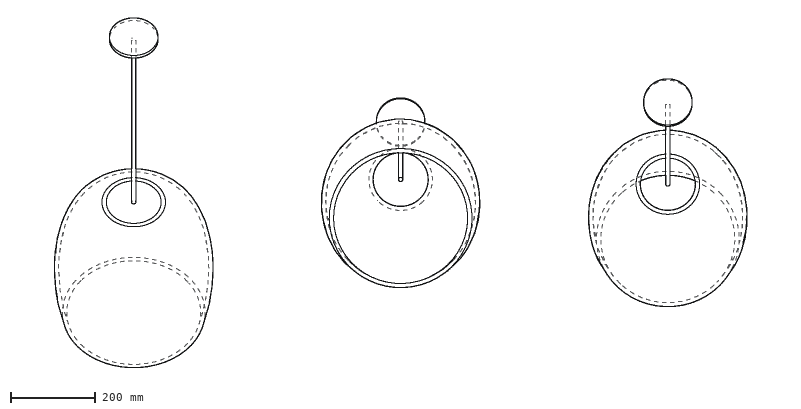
import cadquery as cq

TOTAL_HEIGHT = 1031.0

DISC_RADIUS = 58.0
DISC_THICKNESS = 10.0

ROD_RADIUS = 5.0

SHADE_HEIGHT = 412.0
WALL_THICKNESS = 10.0
RIM_RADIUS = 75.0
SHOULDER_RADIUS = 153.0
SHOULDER_HEIGHT = 348.0
BELLY_TOP_RADIUS = 178.0
BELLY_TOP_HEIGHT = 274.0
BELLY_RADIUS = 188.1
BELLY_HEIGHT = 175.0
MOUTH_RADIUS = 169.0
LOWER_RADIUS = 184.0
LOWER_HEIGHT = 82.0


def make_disc():
    """Flat round plate at the very top."""
    disc_bottom = TOTAL_HEIGHT - DISC_THICKNESS
    return cq.Workplane("XY").workplane(offset=disc_bottom).circle(DISC_RADIUS).extrude(DISC_THICKNESS)


def make_rod():
    """Thin rod from the rim level of the shade up to the underside of the disc."""
    rod_length = TOTAL_HEIGHT - DISC_THICKNESS - SHADE_HEIGHT
    return cq.Workplane("XY").workplane(offset=SHADE_HEIGHT).circle(ROD_RADIUS).extrude(rod_length)


def make_shade():
    """Revolved shell whose inner curve is the outer one moved in by the wall thickness."""
    outer_curve = [
        (MOUTH_RADIUS, 0),
        (LOWER_RADIUS, LOWER_HEIGHT),
        (BELLY_RADIUS, BELLY_HEIGHT),
        (BELLY_TOP_RADIUS, BELLY_TOP_HEIGHT),
        (SHOULDER_RADIUS, SHOULDER_HEIGHT),
        (RIM_RADIUS, SHADE_HEIGHT),
    ]
    inner_curve = [(radius - WALL_THICKNESS, height) for radius, height in reversed(outer_curve)]
    profile = (
        cq.Workplane("XZ")
        .moveTo(*outer_curve[0])
        .spline(outer_curve[1:], includeCurrent=True)
        .lineTo(*inner_curve[0])
        .spline(inner_curve[1:], includeCurrent=True)
        .close()
    )
    return profile.revolve(360, (0, 0, 0), (0, 1, 0))


disc = make_disc()
rod = make_rod()
shade = make_shade()

result = cq.Compound.makeCompound([disc.val(), rod.val(), shade.val()])